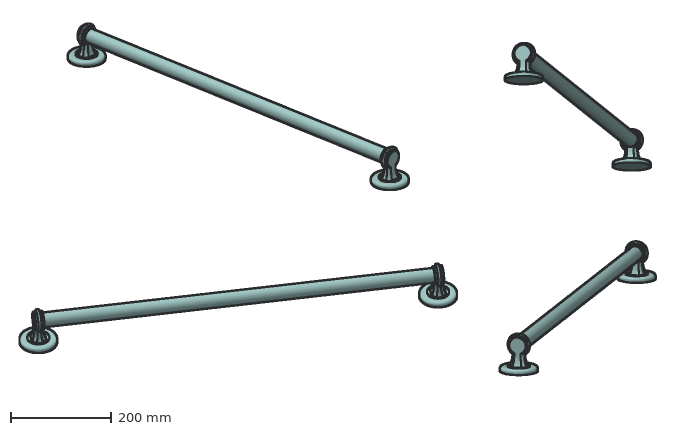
import cadquery as cq
import math

total_length = 889.0
total_height = 76.5

flange_radius = 38.0
flange_top_radius = 32.0
flange_rim_height = 5.0
flange_height = 10.0
collar_radius = 22.0
collar_height = 0.45

ring_radius = 23.0
ring_width = 6.0
head_radius = 19.0
head_width = 19.0
head_chamfer = 1.3

neck_height = 32.0
neck_half_x = head_width / 2
neck_half_y = 12.5
neck_face_half_y = 6.7
foot_half_x = 15.0
foot_half_y = 19.0
foot_face_half_y = 10.2

bar_radius = 15.0

post_offset = total_length / 2 - flange_radius
bar_height = total_height - ring_radius


def make_flange():
    """Round flange with a rounded upper edge and a low collar."""
    shoulder_mid_radius = flange_top_radius + (flange_radius - flange_top_radius) * math.sqrt(0.5)
    shoulder_mid_height = flange_rim_height + (flange_height - flange_rim_height) * math.sqrt(0.5)
    profile = (
        cq.Workplane("XZ")
        .lineTo(flange_radius, 0)
        .lineTo(flange_radius, flange_rim_height)
        .threePointArc((shoulder_mid_radius, shoulder_mid_height), (flange_top_radius, flange_height))
        .lineTo(collar_radius, flange_height)
        .lineTo(collar_radius, flange_height + collar_height)
        .lineTo(0, flange_height + collar_height)
        .close()
    )
    return profile.revolve(360, (0, 0, 0), (0, 1, 0))


def flared_slab(neck_half, foot_half, angle):
    """Slab with faces that run straight down to the neck, then flare in arcs to the foot.

    The angle turns its flared faces about Z, starting from the X direction.
    """
    flare = foot_half - neck_half
    drop = neck_height - flange_height
    arc_radius = (drop**2 + flare**2) / (2 * flare)
    half_turn = math.asin(drop / arc_radius) / 2
    mid_x = neck_half + arc_radius * (1 - math.cos(half_turn))
    mid_z = neck_height - arc_radius * math.sin(half_turn)
    depth = 2 * flange_radius
    return (
        cq.Workplane("XZ")
        .moveTo(-neck_half, bar_height)
        .lineTo(neck_half, bar_height)
        .lineTo(neck_half, neck_height)
        .threePointArc((mid_x, mid_z), (foot_half, flange_height))
        .lineTo(-foot_half, flange_height)
        .threePointArc((-mid_x, mid_z), (-neck_half, neck_height))
        .close()
        .extrude(depth / 2, both=True)
        .rotate((0, 0, 0), (0, 0, 1), angle)
    )


def make_stem():
    """Eight-sided stem: four main faces with the corners cut at 45 degrees."""
    neck_diagonal = (neck_half_x + neck_face_half_y) / math.sqrt(2)
    foot_diagonal = (foot_half_x + foot_face_half_y) / math.sqrt(2)
    stem = flared_slab(neck_half_x, foot_half_x, 0)
    stem = stem.intersect(flared_slab(neck_half_y, foot_half_y, 90))
    for corner_angle in (45, -45):
        stem = stem.intersect(flared_slab(neck_diagonal, foot_diagonal, corner_angle))
    return stem


def make_head():
    """Chamfered disc on the bar axis with a rounded ring around its middle."""
    disc = (
        cq.Workplane("YZ", origin=(0, 0, bar_height))
        .circle(head_radius)
        .extrude(head_width / 2, both=True)
        .edges()
        .chamfer(head_chamfer)
    )
    ring = (
        cq.Workplane("XY")
        .moveTo(-ring_width / 2, 0)
        .lineTo(-ring_width / 2, head_radius)
        .threePointArc((0, ring_radius), (ring_width / 2, head_radius))
        .lineTo(ring_width / 2, 0)
        .close()
        .revolve(360, (0, 0, 0), (1, 0, 0))
        .translate((0, 0, bar_height))
    )
    return disc.union(ring)


def make_post():
    return make_flange().union(make_stem()).union(make_head())


bar = cq.Workplane("YZ", origin=(0, 0, bar_height)).circle(bar_radius).extrude(post_offset, both=True)

result = bar
for side in (-1, 1):
    result = result.union(make_post().translate((side * post_offset, 0, 0)))